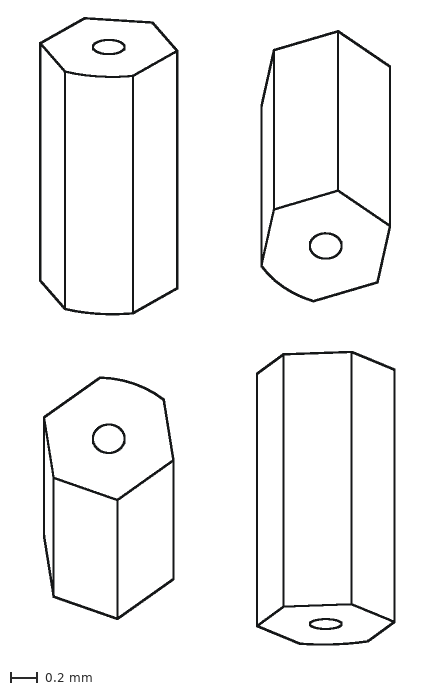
import cadquery as cq
import math

LENGTH = 2.0
ACROSS_FLATS = 0.89
ACROSS_CORNERS = 1.06
SIDE_FLAT = 0.54
BULGE = 0.045
HOLE_DIAMETER = 0.24

half_x = ACROSS_FLATS / 2
half_y = ACROSS_CORNERS / 2
half_flat = SIDE_FLAT / 2
front_corner = (0, -half_y)
right_front_corner = (half_x, -half_flat)


def bulge_point(start, end, rise):
    """Point raised off the middle of a chord, to its right going from start to end."""
    run_x = end[0] - start[0]
    run_y = end[1] - start[1]
    chord = math.hypot(run_x, run_y)
    middle_x = (start[0] + end[0]) / 2
    middle_y = (start[1] + end[1]) / 2
    return (middle_x + rise * run_y / chord, middle_y - rise * run_x / chord)


def make_body():
    """Hexagonal prism whose side between +X and -Y is rounded outward."""
    return (
        cq.Workplane("XY")
        .moveTo(*front_corner)
        .threePointArc(bulge_point(front_corner, right_front_corner, BULGE), right_front_corner)
        .lineTo(half_x, half_flat)
        .lineTo(0, half_y)
        .lineTo(-half_x, half_flat)
        .lineTo(-half_x, -half_flat)
        .close()
        .extrude(LENGTH)
    )


def make_bore():
    """Round bore along the axis, through the whole length."""
    return cq.Workplane("XY").circle(HOLE_DIAMETER / 2).extrude(LENGTH)


result = make_body().cut(make_bore())